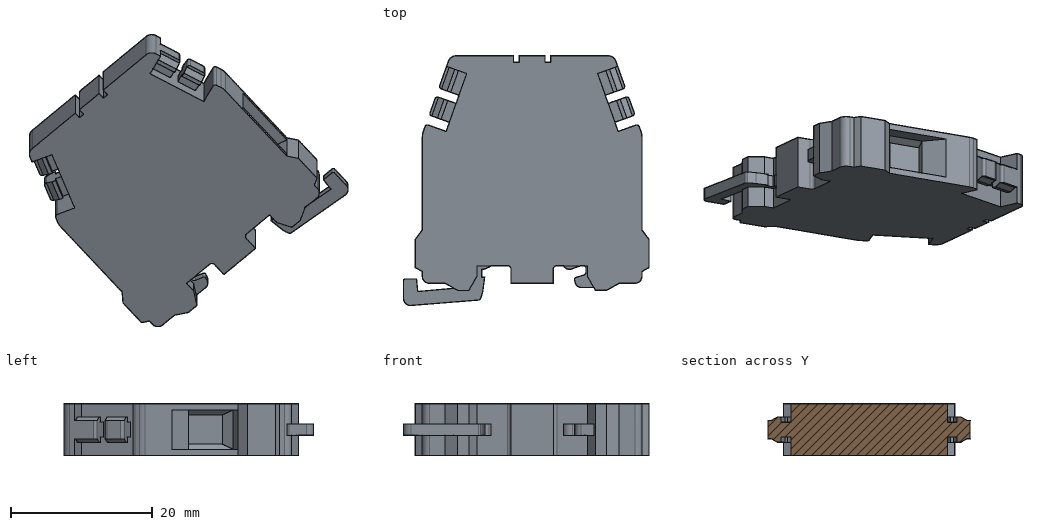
import cadquery as cq
import math

thickness = 7.3

top_y = 29.6
top_corner_radius = 1.2
flank_tilt = math.radians(19.6)
recess_root = (9.22, 27.08)
recess_depth = 3.02
recess_length = 8.64
shoulder_radius = 0.4
shoulder_end_y = 18.56
shoulder_blend_radius = 2.2
side_x = 15.48
belly_x = 16.47
belly_top_y = 3.72
belly_bottom_y = -0.25
side_end_y = 5.05
lower_side_y = -0.82
base_y = -2.48
base_corner_radius = 1.0
foot_y = -3.47
foot_outer_x = 10.49
foot_ramp_x = 12.25
foot_inner_x = 8.92
rail_wall_x = 7.79
rail_wall_y = -1.51
post_half_width = 2.98
post_root_radius = 0.5

slot_x = 2.23
slot_width = 0.77
slot_depth = 0.92

clip_spans = ((0.0, 3.26), (4.46, 7.3))
clip_neck_height = 1.23
clip_shoulder_height = 1.78
clip_neck_half = 1.05
clip_head_half = 1.8
clip_tip_half = 1.3
clip_corner_radius = 0.4

latch_thickness = 1.6
latch_embed_y = 0.5
lever_left_x = -18.13
lever_low_y = -5.69
lever_grip_y = -1.86
lever_corner_radius = 1.0
lever_grip_radius = 0.25
lever_end_radius = 0.3
lever_heel_radius = 4.0
lever_catch_x = -7.07
lever_catch_top_y = -0.5
lever_catch_bottom_y = -1.61
lever_bump_end_x = -5.76
embed_x = 9.1
hook_wall_x = 7.56
hook_root_x = 7.37
hook_bottom_y = -3.07
hook_throat_radius = 0.4
hook_tip_radius = 0.3
hook_heel_radius = 0.85
bump_start_x = 4.42
bump_end_x = 6.87

pocket_half = 2.79
pocket_top_y = 14.38
pocket_mouth_x = 12.83
funnel_top_y = 12.0
funnel_bottom_y = 5.73
funnel_depth = 0.88
funnel_floor_y = 7.27
funnel_floor_half = 2.04


def recess_point(along, outward):
    """Point in the right-hand recess: distance along its floor and square to it."""
    return (
        recess_root[0] + along * math.sin(flank_tilt) + outward * math.cos(flank_tilt),
        recess_root[1] - along * math.cos(flank_tilt) + outward * math.sin(flank_tilt),
    )


def plate(points, height):
    """Flat plate centred on Z = 0."""
    return cq.Workplane("XY").polyline(points).close().extrude(height / 2, both=True)


def rectangle(low, high, half):
    """Corners of a rectangle spanning low to high, and half either way from Z = 0."""
    return [(low, -half), (high, -half), (high, half), (low, half)]


def round_edge(body, point, radius):
    """Round the upright edge nearest to a point of the outline."""
    return body.edges("|Z").edges(cq.selectors.NearestToPointSelector((*point, 0))).fillet(radius)


def mirrored(body):
    """Body joined with its reflection across X = 0."""
    return body.union(body.mirror("YZ"))


def make_half_housing():
    """Right half of the housing, with the slot in its top edge."""
    recess_tip = recess_point(0, recess_depth)
    flank_length = (top_y - recess_tip[1]) / math.cos(flank_tilt)
    top_corner = recess_point(-flank_length, recess_depth)
    shoulder = recess_point(recess_length, recess_depth)
    shoulder_end = (side_x, shoulder_end_y)
    base_corner = (side_x, base_y)
    post_root = (post_half_width, 0)
    body = plate(
        [
            (0, top_y),
            top_corner,
            recess_tip,
            recess_root,
            recess_point(recess_length, 0),
            shoulder,
            shoulder_end,
            (side_x, side_end_y),
            (belly_x, belly_top_y),
            (belly_x, belly_bottom_y),
            (side_x, lower_side_y),
            base_corner,
            (foot_ramp_x, base_y),
            (foot_outer_x, foot_y),
            (foot_inner_x, foot_y),
            (rail_wall_x, rail_wall_y),
            (rail_wall_x, 0),
            post_root,
            (post_half_width, base_y),
            (0, base_y),
        ],
        thickness,
    )
    body = round_edge(body, top_corner, top_corner_radius)
    body = round_edge(body, shoulder, shoulder_radius)
    body = round_edge(body, shoulder_end, shoulder_blend_radius)
    body = round_edge(body, base_corner, base_corner_radius)
    body = round_edge(body, post_root, post_root_radius)
    slot = cq.Workplane("XY").box(slot_width, 2 * slot_depth, thickness).translate((slot_x, top_y, 0))
    return body.cut(slot)


def make_pocket():
    """Ramped opening through the side that ends in a shallow funnel."""
    opening = plate(
        [
            (side_x, pocket_top_y),
            (pocket_mouth_x, funnel_top_y),
            (pocket_mouth_x, funnel_bottom_y),
            (side_x, side_end_y),
        ],
        2 * pocket_half,
    )
    funnel = (
        cq.Workplane("YZ", origin=(pocket_mouth_x, 0, 0))
        .polyline(rectangle(funnel_bottom_y, funnel_top_y, pocket_half))
        .close()
        .workplane(offset=-funnel_depth)
        .polyline(rectangle(funnel_floor_y, funnel_top_y, funnel_floor_half))
        .close()
        .loft(ruled=True)
    )
    return opening.union(funnel)


def make_clip(start, end, rounded_ends):
    """Clip with a narrow neck and a wedge-shaped head, pointing out of the recess."""
    profile = [
        (-clip_neck_height, -clip_neck_half),
        (clip_neck_height, -clip_neck_half),
        (clip_neck_height, -clip_head_half),
        (clip_shoulder_height, -clip_head_half),
        (recess_depth - clip_corner_radius, -clip_tip_half),
        (recess_depth, -clip_tip_half),
    ]
    profile += [(outward, -z) for outward, z in reversed(profile)]
    origin = recess_point(start, 0)
    floor_plane = cq.Plane(
        origin=(*origin, 0),
        xDir=(math.cos(flank_tilt), math.sin(flank_tilt), 0),
        normal=(math.sin(flank_tilt), -math.cos(flank_tilt), 0),
    )
    clip = cq.Workplane(floor_plane).polyline(profile).close().extrude(end - start)
    outline = plate(
        [
            recess_point(start, -clip_neck_height),
            recess_point(start, recess_depth),
            recess_point(end, recess_depth),
            recess_point(end, -clip_neck_height),
        ],
        thickness,
    )
    for along in rounded_ends:
        outline = round_edge(outline, recess_point(along, recess_depth), clip_corner_radius)
    return clip.intersect(outline)


def make_release_lever():
    """Left-hand latch arm with its upturned finger grip."""
    grip_corner = (lever_left_x, lever_low_y)
    grip_top = (lever_left_x, lever_grip_y)
    arm_end = (-7.36, -4.83)
    heel = (-6.99, -4.03)
    lever = plate(
        [
            grip_top,
            (-16.27, lever_grip_y),
            (-16.1, -3.61),
            (-embed_x, -2.98),
            (-embed_x, latch_embed_y),
            (lever_bump_end_x, latch_embed_y),
            (lever_bump_end_x, 0),
            (-6.05, -0.2),
            (-6.75, lever_catch_top_y),
            (lever_catch_x, lever_catch_top_y),
            (lever_catch_x, lever_catch_bottom_y),
            (-6.67, lever_catch_bottom_y),
            heel,
            arm_end,
            grip_corner,
        ],
        latch_thickness,
    )
    lever = round_edge(lever, grip_corner, lever_corner_radius)
    lever = round_edge(lever, grip_top, lever_grip_radius)
    lever = round_edge(lever, arm_end, lever_end_radius)
    return round_edge(lever, heel, lever_heel_radius)


def make_rail_hook():
    """Right-hand fixed hook."""
    throat = (hook_wall_x, -1.2)
    tip = (5.87, -1.73)
    heel = (6.25, hook_bottom_y)
    hook = plate(
        [
            (hook_root_x, latch_embed_y),
            (hook_root_x, 0),
            (hook_wall_x, -0.2),
            throat,
            tip,
            heel,
            (embed_x, hook_bottom_y),
            (embed_x, latch_embed_y),
        ],
        latch_thickness,
    )
    hook = round_edge(hook, throat, hook_throat_radius)
    hook = round_edge(hook, tip, hook_tip_radius)
    return round_edge(hook, heel, hook_heel_radius)


def make_rail_bump():
    """Small rounded bump on the rail seat beside the hook."""
    return (
        cq.Workplane("XY")
        .moveTo(bump_start_x, latch_embed_y)
        .lineTo(bump_start_x, 0)
        .threePointArc((4.95, -0.46), (5.67, -0.42))
        .lineTo(bump_end_x, 0)
        .lineTo(bump_end_x, latch_embed_y)
        .close()
        .extrude(latch_thickness / 2, both=True)
    )


half = make_half_housing().cut(make_pocket())
(upper_start, upper_end), (lower_start, lower_end) = clip_spans
half = half.union(make_clip(upper_start, upper_end, [upper_end]))
half = half.union(make_clip(lower_start, lower_end, [lower_start, lower_end]))

result = mirrored(half)
for latch_part in (make_release_lever(), make_rail_hook(), make_rail_bump()):
    result = result.union(latch_part)
result = result.clean()